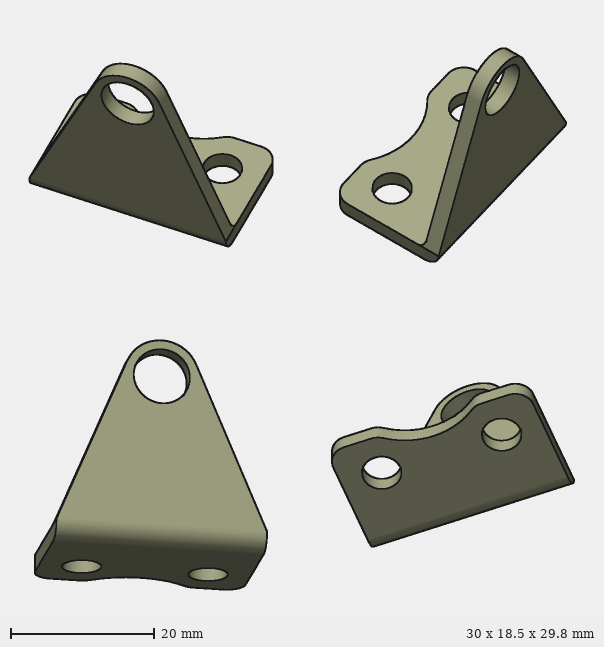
import cadquery as cq
import math

width = 30.0
depth = 18.5
thickness = 2.5
outer_bend_radius = 2.5
inner_bend_radius = 1.2

lug_radius = 5.3
lug_height = 29.82
lug_hole_diameter = 7.98
lug_center_z = lug_height - lug_radius

base_hole_diameter = 5.52
base_hole_spacing = 18.0
base_hole_y = 12.5
corner_radius = 2.7
recess_radius = 11.0
recess_bottom_y = 15.75
recess_edge_radius = 2.7

half_width = width / 2


def bent_strip():
    """L-shaped section with a rounded bend, extruded over the full width."""
    strip = (
        cq.Workplane("YZ")
        .polyline([
            (0, 0),
            (depth, 0),
            (depth, thickness),
            (thickness, thickness),
            (thickness, lug_height),
            (0, lug_height),
        ])
        .close()
        .extrude(half_width, both=True)
    )
    inner_corner = cq.selectors.NearestToPointSelector((0, thickness, thickness))
    outer_corner = cq.selectors.NearestToPointSelector((0, 0, 0))
    strip = strip.edges(inner_corner).fillet(inner_bend_radius)
    return strip.edges(outer_corner).fillet(outer_bend_radius)


def front_outline():
    """Base edge plus sides that run tangent into the round top of the lug."""
    rise = lug_center_z - thickness
    reach = math.hypot(half_width, rise)
    tangent_angle = math.acos(lug_radius / reach) - math.atan2(rise, half_width)
    tangent_x = lug_radius * math.cos(tangent_angle)
    tangent_z = lug_center_z + lug_radius * math.sin(tangent_angle)
    return (
        cq.Workplane("XZ")
        .moveTo(-half_width, 0)
        .lineTo(half_width, 0)
        .lineTo(half_width, thickness)
        .lineTo(tangent_x, tangent_z)
        .threePointArc((0, lug_height), (-tangent_x, tangent_z))
        .lineTo(-half_width, thickness)
        .close()
        .extrude(-depth)
    )


def base_outline():
    """Plan shape with rounded rear corners and a blended round recess."""
    recess_center_y = recess_bottom_y + recess_radius
    plan = cq.Workplane("XY").box(width, depth, lug_height, centered=(True, False, False))
    plan = plan.edges("|Z and >Y").fillet(corner_radius)
    recess = cq.Workplane("XY").center(0, recess_center_y).circle(recess_radius).extrude(lug_height)
    plan = plan.cut(recess)
    recess_half_width = math.sqrt(recess_radius**2 - (recess_center_y - depth) ** 2)
    for side in (-1, 1):
        lip = cq.selectors.NearestToPointSelector((side * recess_half_width, depth, lug_height / 2))
        plan = plan.edges(lip).fillet(recess_edge_radius)
    return plan


lug_hole = (
    cq.Workplane("XZ")
    .center(0, lug_center_z)
    .circle(lug_hole_diameter / 2)
    .extrude(-thickness)
)
base_holes = (
    cq.Workplane("XY")
    .pushPoints([(side * base_hole_spacing / 2, base_hole_y) for side in (-1, 1)])
    .circle(base_hole_diameter / 2)
    .extrude(thickness)
)

result = bent_strip().intersect(front_outline()).intersect(base_outline())
result = result.cut(lug_hole).cut(base_holes)